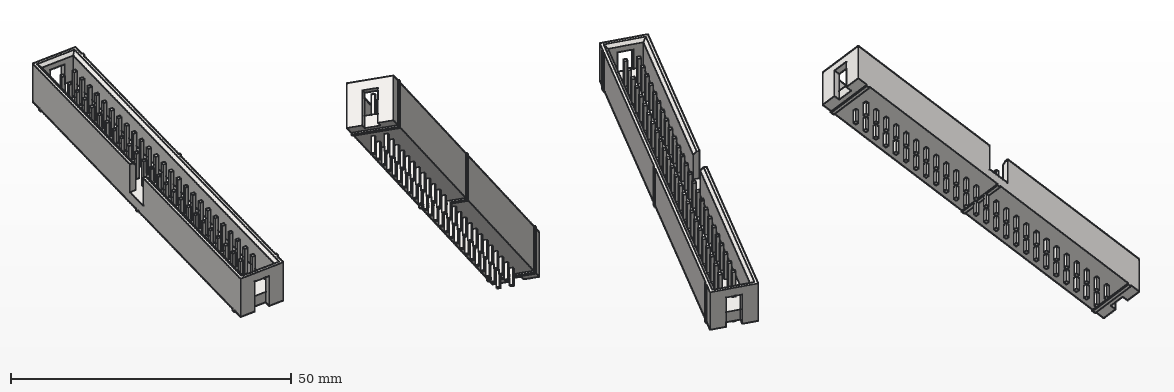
import cadquery as cq

housing_length = 71.15
housing_depth = 9.0
housing_height = 8.8
wall = 1.2
rim_chamfer = 0.65
floor_height = 2.4

key_slot_width = 4.5
end_slot_width = 3.0
end_slot_top_gap = 1.9

pin_columns = 25
pin_rows = 2
pin_row_span = 60.9
pin_pitch = pin_row_span / (pin_columns - 1)
pin_y_shift = -0.1
pin_size = 0.65
pin_tail = 3.35
pin_top_gap = 0.6

rib_width = 0.65
rib_height = 0.2
standoff_height = 0.35
rib_inset = 2.5

outer_rib_x = housing_length / 2 - rib_inset
cavity_length = housing_length - 2 * wall
cavity_depth = housing_depth - 2 * wall
cavity_height = housing_height - floor_height


def block(length, depth, height, x=0.0, y=0.0, z=0.0):
    """Box centred on (x, y) with its underside at z."""
    return cq.Workplane("XY").box(length, depth, height, centered=(True, True, False)).translate((x, y, z))


def make_shell():
    """Box with a cavity whose rim slopes inwards at 45 degrees."""
    shell = block(housing_length, housing_depth, housing_height)
    cavity = block(cavity_length, cavity_depth, cavity_height, z=floor_height)
    rim_slope = (
        cq.Workplane("XY", origin=(0, 0, housing_height - rim_chamfer))
        .rect(cavity_length, cavity_depth)
        .workplane(offset=rim_chamfer)
        .rect(cavity_length + 2 * rim_chamfer, cavity_depth + 2 * rim_chamfer)
        .loft(combine=True)
    )
    return shell.cut(cavity).cut(rim_slope)


def make_key_slot():
    """Cutter that opens the middle of the front wall from floor to rim."""
    return block(key_slot_width, wall, cavity_height, y=(wall - housing_depth) / 2, z=floor_height)


def make_end_slot(side):
    """Cutter, one wall deep, that runs up an end wall from the underside."""
    slot_x = side * (housing_length - wall) / 2
    return block(wall, end_slot_width, housing_height - end_slot_top_gap, x=slot_x)


def make_pins():
    """All contact pins, passing through the housing floor."""
    tail_ends = cq.Workplane("XY", origin=(0, pin_y_shift, -pin_tail))
    centres = tail_ends.rarray(pin_pitch, pin_pitch, pin_columns, pin_rows)
    return centres.rect(pin_size, pin_size).extrude(pin_tail + housing_height - pin_top_gap)


def make_back_rib(x):
    """Full-height rib on the back wall."""
    return block(rib_width, rib_height, housing_height, x=x, y=(housing_depth + rib_height) / 2)


def make_standoff(x):
    """Bar under the housing, as deep as the housing."""
    return block(rib_width, housing_depth, standoff_height, x=x, z=-standoff_height)


result = make_shell().cut(make_key_slot())
for end_side in (-1, 1):
    result = result.cut(make_end_slot(end_side))
for rib_x in (-outer_rib_x, 0.0, outer_rib_x):
    result = result.union(make_back_rib(rib_x))
    result = result.union(make_standoff(rib_x))
result = result.union(make_pins())